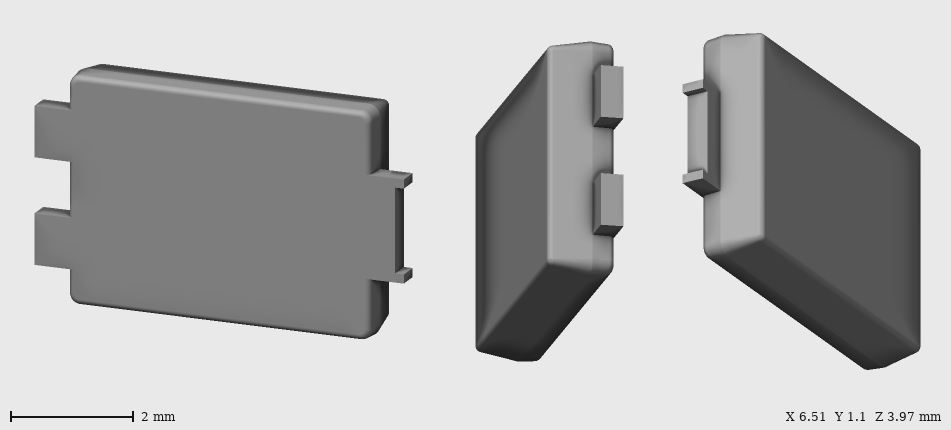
import cadquery as cq

package_length = 6.51
package_depth = 1.1

housing_length = 5.37
housing_height = 3.97
housing_corner_radius = 0.21
edge_fillet = 0.1
front_draft = 5.0
back_draft = 10.0

metal_thickness = 0.38
lead_length = 0.85
lead_height = 0.88
lead_pitch = 1.84
pad_length = 3.55
pad_height = 3.04
pad_right_inset = 0.28
tab_height = 1.78
notch_depth = 0.155
notch_height = 1.47

housing_right = housing_length / 2
lead_overhang = 0.57
package_left = -housing_right - lead_overhang
package_right = package_left + package_length
pad_right = housing_right - pad_right_inset
pad_left = pad_right - pad_length

parting_y = metal_thickness


def block(x_min, x_max, z_center, height):
    """Metal block as thick as the lead frame, standing on the mounting face."""
    length = x_max - x_min
    return (
        cq.Workplane("XY")
        .box(length, metal_thickness, height, centered=(False, False, True))
        .translate((x_min, 0, z_center))
    )


def make_lead(z_center):
    return block(package_left, package_left + lead_length, z_center, lead_height)


def make_pad():
    """Exposed pad with a tab that ends in a shallow notch between two prongs."""
    pad = block(pad_left, pad_right, 0, pad_height)
    tab = block(pad_left, package_right, 0, tab_height)
    notch = block(package_right - notch_depth, package_right, 0, notch_height)
    return pad.union(tab).cut(notch)


def housing_half(depth, draft):
    """Rounded rectangle extruded along Z from the parting plane, narrowing with depth."""
    outline = (
        cq.Sketch()
        .rect(housing_length, housing_height)
        .vertices()
        .fillet(housing_corner_radius)
    )
    return cq.Workplane("XY").placeSketch(outline).extrude(depth, taper=draft)


def make_housing(metal_parts):
    """Two drafted halves with rounded outer edges, pocketed for the metal parts."""
    front_depth = parting_y
    back_depth = package_depth - parting_y
    front = housing_half(front_depth, front_draft).rotate((0, 0, 0), (1, 0, 0), 90)
    back = housing_half(back_depth, back_draft).rotate((0, 0, 0), (1, 0, 0), -90)
    front = front.faces("<Y").edges().fillet(edge_fillet)
    back = back.faces(">Y").edges().fillet(edge_fillet)
    housing = front.union(back).translate((0, parting_y, 0))
    for metal in metal_parts:
        housing = housing.cut(metal)
    return housing


leads = [make_lead(side * lead_pitch / 2) for side in (-1, 1)]
pad = make_pad()
housing = make_housing([*leads, pad])

result = cq.Compound.makeCompound([housing.val(), pad.val(), *[lead.val() for lead in leads]])